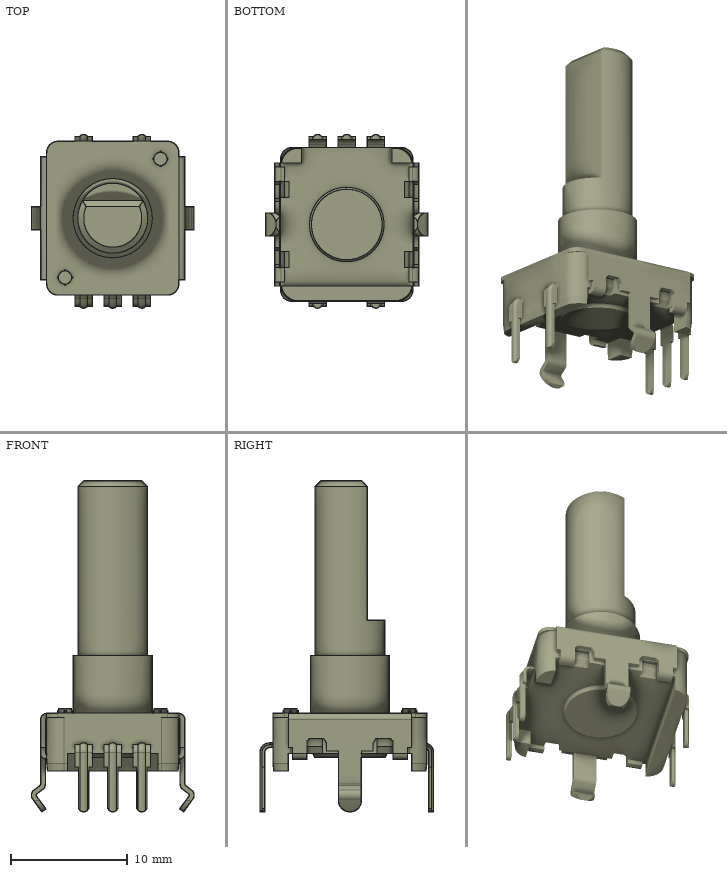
import cadquery as cq


body_width = 11.4
body_depth = 13.25
body_top = 5.0
leg_corner_radius = 1.5
lid_corner_radius = 1.0
lid_thickness = 0.37
underside = 1.5
end_wall_inner = 5.3
notch_width = 7.75
leg_taper_height = 0.68
leg_taper_angle = 6.0

shaft_diameter = 6.0
bushing_diameter = 6.8
bushing_height = 5.0
shaft_top = 25.0
flat_offset = 1.5
flat_length = 12.0
shaft_chamfer = 0.5

rotor_diameter = 6.4
rotor_drop = 0.3
rotor_bottom_diameter = 6.07

rivet_x = 4.1
rivet_y = 5.1
rivet_diameter = 1.15
rivet_height = 0.4
rivet_base_diagonal = 1.35
rivet_base_height = 0.23

sheet = 0.43
bracket_reach = 6.2
bracket_mid = bracket_reach - sheet / 2
bracket_bend = 0.35
skirt_half = end_wall_inner
skirt_step_z = 2.02
tab_inner = 3.7
tab_outer = 4.95
tab_bottom = 1.03
tab_length = 0.63
window_inner = 2.0
window_top = 2.82
window_chamfer = 0.25
window_chamfer_height = 0.4
skirt_middle_z = 1.75
clip_half = 1.0
clip_bend_z = -1.28
clip_knee_x = 6.93
clip_knee_z = -2.0
clip_end_x = 5.93
clip_end_z = -3.35
clip_round_z = -2.55
clip_bottom = -3.5

relief_inner = 2.35
relief_depth = 0.35
relief_slope_z = 2.1
relief_slope_depth = 0.75

pin_pitch = 2.5
overall_height = 28.5
pin_bottom = shaft_top - overall_height
pin_top = 2.28
pin_sheet = 0.25
pin_bend = 0.68
pin_width = 0.9
pin_tip_height = 0.3
pin_tip_round = 0.15
shoulder_width = 1.5
shoulder_bottom = 0.37
rib_width = 0.65
rib_height = 0.17
front_pin_reach = 7.58
rear_pin_reach = 7.05
pin_root = 5.98


def block(x0, x1, y0, y1, z0, z1):
    return cq.Workplane("XY").box(x1 - x0, y1 - y0, z1 - z0, centered=False).translate((x0, y0, z0))


def rounded_slab(radius, z0, z1):
    slab = cq.Workplane("XY").workplane(offset=z0).rect(body_width, body_depth).extrude(z1 - z0)
    return slab.edges("|Z").fillet(radius)


def make_housing():
    lid_bottom = body_top - lid_thickness
    housing = rounded_slab(leg_corner_radius, leg_taper_height, lid_bottom)
    housing = housing.union(rounded_slab(lid_corner_radius, lid_bottom, body_top))
    foot = housing.faces("<Z").wires().toPending().workplane()
    foot = foot.extrude(leg_taper_height, taper=leg_taper_angle, combine=False)
    housing = housing.union(foot)

    half_width = body_width / 2
    housing = housing.cut(block(-half_width, half_width, -end_wall_inner, end_wall_inner, 0, underside))
    half_notch = notch_width / 2
    housing = housing.cut(block(-half_notch, half_notch, -body_depth, 0, 0, underside))

    outline = [
        (-half_width, window_top),
        (-half_width + relief_depth, window_top),
        (-half_width + relief_depth, relief_slope_z),
        (-half_width + relief_slope_depth, underside),
        (-half_width, underside),
    ]
    relief = cq.Workplane("XZ").polyline(outline).close().extrude(-(tab_inner - relief_inner))
    for y in (relief_inner, -tab_inner):
        placed = relief.translate((0, y, 0))
        housing = housing.cut(placed).cut(placed.mirror("YZ"))
    return housing


def make_shaft():
    lid = cq.Workplane("XY").workplane(offset=body_top)
    bushing = lid.circle(bushing_diameter / 2).extrude(bushing_height)
    radius = shaft_diameter / 2
    flat_z = shaft_top - flat_length
    stub = lid.circle(radius).extrude(flat_z - body_top)
    d_part = cq.Workplane("XY").workplane(offset=flat_z).circle(radius).extrude(flat_length)
    d_part = d_part.cut(block(-radius, radius, flat_offset, radius, flat_z, shaft_top))
    d_part = d_part.faces(">Z").chamfer(shaft_chamfer)
    return bushing.union(stub).union(d_part)


def make_rotor():
    bottom = cq.Vector(0, 0, underside - rotor_drop)
    cone = cq.Solid.makeCone(rotor_bottom_diameter / 2, rotor_diameter / 2, rotor_drop, bottom)
    return cq.Workplane(cone)


def make_rivet():
    lid = cq.Workplane("XY").workplane(offset=body_top)
    base = lid.polygon(4, rivet_base_diagonal).extrude(rivet_base_height)
    return base.union(lid.circle(rivet_diameter / 2).extrude(rivet_height))


def bent_path(points, bend_radius):
    wire = cq.Wire.makePolygon([cq.Vector(*p) for p in points])
    return wire.fillet(bend_radius, wire.Vertices()[1:-1])


def make_bracket_side():
    top_mid = body_top - sheet / 2
    points = [
        (-body_width / 2 + sheet, 0, top_mid),
        (-bracket_mid, 0, top_mid),
        (-bracket_mid, 0, clip_bend_z),
        (-clip_knee_x, 0, clip_knee_z),
        (-clip_end_x, 0, clip_end_z),
    ]
    start = cq.Workplane("YZ", origin=points[0])
    strip = start.rect(2 * skirt_half, sheet).sweep(bent_path(points, bracket_bend))

    rear_edge = [
        (skirt_half, body_top),
        (skirt_half, skirt_step_z),
        (tab_outer, skirt_step_z),
        (tab_outer, underside),
        (tab_inner, underside),
        (tab_inner, window_top - window_chamfer),
        (tab_inner - window_chamfer, window_top),
        (window_inner + window_chamfer, window_top),
        (window_inner, window_top - window_chamfer_height),
        (window_inner, skirt_middle_z),
        (clip_half, skirt_middle_z),
        (clip_half, clip_round_z),
    ]
    front_edge = [(-y, z) for y, z in reversed(rear_edge)]
    outline = cq.Workplane("YZ").polyline(rear_edge).threePointArc((0, clip_bottom), front_edge[0])
    outline = outline.polyline(front_edge[1:], includeCurrent=True).close()
    side = strip.intersect(outline.extrude(-2 * bracket_reach))

    tab_mid = tab_bottom + sheet / 2
    tab_points = [
        (-bracket_mid, 0, skirt_step_z),
        (-bracket_mid, 0, tab_mid),
        (-bracket_mid + tab_length, 0, tab_mid),
    ]
    tab_start = cq.Workplane("XY", origin=tab_points[0])
    tab_path = bent_path(tab_points, bracket_bend)
    tab = tab_start.rect(sheet, tab_outer - tab_inner).sweep(tab_path)
    tab_y = (tab_inner + tab_outer) / 2
    return side.union(tab.translate((0, tab_y, 0))).union(tab.translate((0, -tab_y, 0)))


def make_pin(reach):
    def sheet_part(width, bottom):
        mid_z = pin_top - pin_sheet / 2
        mid_y = -reach + pin_sheet / 2
        points = [(0, -pin_root, mid_z), (0, mid_y, mid_z), (0, mid_y, bottom)]
        path = bent_path(points, pin_bend - pin_sheet / 2)
        return cq.Workplane("XZ", origin=points[0]).rect(width, pin_sheet).sweep(path)

    blade = sheet_part(pin_width, pin_bottom)
    rib_points = [(0, -pin_root, pin_top), (0, -reach, pin_top), (0, -reach, pin_bottom)]
    rib = cq.Workplane("XZ", origin=rib_points[0]).moveTo(-rib_width / 2, -pin_sheet / 2)
    rib = rib.lineTo(-rib_width / 2, 0).threePointArc((0, rib_height), (rib_width / 2, 0))
    rib = rib.lineTo(rib_width / 2, -pin_sheet / 2).close()
    rib = rib.sweep(bent_path(rib_points, pin_bend))
    pin = blade.union(sheet_part(shoulder_width, shoulder_bottom)).union(rib)

    outer = pin_width / 2
    inner = rib_width / 2
    waste_bottom = pin_bottom - pin_tip_height
    slope_end = pin_bottom + pin_tip_round
    waste = cq.Workplane("XZ").moveTo(-outer, pin_bottom + pin_tip_height)
    waste = waste.lineTo(-inner, slope_end).threePointArc((0, pin_bottom), (inner, slope_end))
    waste = waste.lineTo(outer, pin_bottom + pin_tip_height)
    waste = waste.lineTo(outer, waste_bottom).lineTo(-outer, waste_bottom).close()
    return pin.cut(waste.extrude(reach + rib_height))


result = make_housing().union(make_shaft()).union(make_rotor())
for side in (-1, 1):
    result = result.union(make_rivet().translate((side * rivet_x, side * rivet_y, 0)))

bracket_side = make_bracket_side()
result = result.union(bracket_side).union(bracket_side.mirror("YZ"))

front_pin = make_pin(front_pin_reach)
for column in (-1, 0, 1):
    result = result.union(front_pin.translate((column * pin_pitch, 0, 0)))

rear_pin = make_pin(rear_pin_reach).mirror("XZ")
for column in (-1, 1):
    result = result.union(rear_pin.translate((column * pin_pitch, 0, 0)))